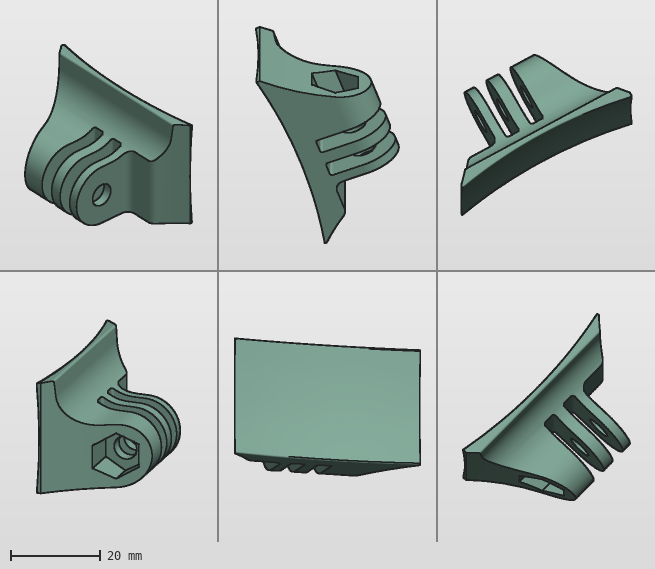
import cadquery as cq
import math

WIDTH = 43.4
DEPTH = 22.81
HEIGHT = 26.46

EYE_RADIUS = 7.5
EYE_Y = EYE_RADIUS - DEPTH
ARM_TOP_Z = 2 * EYE_RADIUS
LIP_LEAN = math.radians(5)
LIP_FRONT_Y = -3.35
LIP_ROUND = 0.5
SADDLE_RADIUS = 8.6

LEFT_END_Y = -0.95
RIGHT_END_Y = -0.55
FLANK_CENTRE_Y = -40.75
FLANK_RADIUS = 59.0
RIGHT_FLANK_SHIFT = 0.5
PLATE_FRONT_Y = -7.3
PLATE_CORNER_ROUND = 2.0
ARM_RIGHT_X = 30.2
ARM_ROOT_ROUND = 2.0

SLOT_WIDTH = 3.25
SLOT_LEFT_XS = (18.5, 24.65)
SLOT_ROOT_ROUND = 0.6

BACK_SAG = 2.15
BACK_MID_DIP = 0.55
BACK_MID_Z = 12.7
BACK_EDGE_ROUND = 0.3

BOLT_DIAMETER = 5.4
NUT_ACROSS_FLATS = 9.4
NUT_FLOOR_X = 15.5

MARGIN = 5.0


def arc_radius(half_chord, sag):
    return (half_chord**2 + sag**2) / (2 * sag)


def flank_rise(y):
    """X distance of the flank circle from its centre at a given Y."""
    return math.sqrt(FLANK_RADIUS**2 - (y - FLANK_CENTRE_Y) ** 2)


def left_flank(y):
    return (flank_rise(y) - flank_rise(LEFT_END_Y), y)


def right_flank(y):
    """Mirror image of the left flank, set slightly inward."""
    return (WIDTH - RIGHT_FLANK_SHIFT - left_flank(y)[0], y)


def vertical_edge_near(x, y):
    return cq.selectors.NearestToPointSelector((x, y, HEIGHT / 2))


def side_body():
    """Profile in YZ, extruded across the full width."""
    slope = math.tan(LIP_LEAN)
    corner_z = HEIGHT + LIP_ROUND * (math.cos(LIP_LEAN) + math.sin(LIP_LEAN) - 1)
    lip_foot_y = LIP_FRONT_Y - (corner_z - ARM_TOP_Z) * slope
    body = (
        cq.Workplane("YZ")
        .moveTo(0, 0)
        .lineTo(EYE_Y, 0)
        .threePointArc((-DEPTH, EYE_RADIUS), (EYE_Y, ARM_TOP_Z))
        .lineTo(lip_foot_y, ARM_TOP_Z)
        .lineTo(LIP_FRONT_Y, corner_z)
        .lineTo(0, corner_z + LIP_FRONT_Y * slope)
        .close()
        .extrude(WIDTH)
    )
    saddle_edge = cq.selectors.NearestToPointSelector((WIDTH / 2, lip_foot_y, ARM_TOP_Z))
    lip_edge = cq.selectors.NearestToPointSelector((WIDTH / 2, LIP_FRONT_Y, corner_z))
    return body.edges(saddle_edge).fillet(SADDLE_RADIUS).edges(lip_edge).fillet(LIP_ROUND)


def plan_body():
    """Plan outline in XY, extruded up the full height."""
    plate_corner = right_flank(PLATE_FRONT_Y)
    body = (
        cq.Workplane("XY")
        .moveTo(0, 0)
        .lineTo(*left_flank(LEFT_END_Y))
        .threePointArc(left_flank(-DEPTH / 2), left_flank(-DEPTH))
        .lineTo(ARM_RIGHT_X, -DEPTH)
        .lineTo(ARM_RIGHT_X, PLATE_FRONT_Y)
        .lineTo(*plate_corner)
        .threePointArc(right_flank(PLATE_FRONT_Y / 2), (WIDTH, RIGHT_END_Y))
        .lineTo(WIDTH, 0)
        .close()
        .extrude(HEIGHT)
    )
    arm_root = vertical_edge_near(ARM_RIGHT_X, PLATE_FRONT_Y)
    body = body.edges(arm_root).fillet(ARM_ROOT_ROUND)
    return body.edges(vertical_edge_near(*plate_corner)).fillet(PLATE_CORNER_ROUND)


def slot(left_x):
    """Slot open to the front, with rounded inner corners at the plate."""
    return (
        cq.Workplane("XY")
        .rect(SLOT_WIDTH, DEPTH + PLATE_FRONT_Y + MARGIN)
        .extrude(HEIGHT)
        .translate((left_x + SLOT_WIDTH / 2, (PLATE_FRONT_Y - DEPTH - MARGIN) / 2, 0))
        .edges("|Z and >Y")
        .fillet(SLOT_ROOT_ROUND)
    )


def back_hollow():
    """Barrel with a vertical axis behind the part, fattest at BACK_MID_Z."""
    barrel_radius = arc_radius(WIDTH / 2, BACK_SAG)
    bulge_radius = arc_radius(BACK_MID_Z, BACK_MID_DIP)
    crown_y = -(BACK_SAG + BACK_MID_DIP)
    axis_y = crown_y + barrel_radius
    low_z = -MARGIN
    high_z = HEIGHT + MARGIN

    def bulge_y(z):
        drop = bulge_radius - math.sqrt(bulge_radius**2 - (z - BACK_MID_Z) ** 2)
        return crown_y + drop

    return (
        cq.Workplane("YZ", origin=(WIDTH / 2, 0, 0))
        .moveTo(axis_y, low_z)
        .lineTo(bulge_y(low_z), low_z)
        .threePointArc((crown_y, BACK_MID_Z), (bulge_y(high_z), high_z))
        .lineTo(axis_y, high_z)
        .close()
        .revolve(360, (axis_y, 0, 0), (axis_y, 1, 0))
    )


def round_back_edges(body):
    """Ease the top and bottom edges of the hollow back face."""
    back_mid = (WIDTH / 2, -(BACK_SAG + BACK_MID_DIP), BACK_MID_Z)
    back_face = body.faces(cq.selectors.NearestToPointSelector(back_mid))
    return back_face.edges(">Z or <Z").fillet(BACK_EDGE_ROUND)


def bolt_hole():
    return (
        cq.Workplane("YZ")
        .center(EYE_Y, EYE_RADIUS)
        .circle(BOLT_DIAMETER / 2)
        .extrude(WIDTH)
    )


def nut_pocket():
    """Hexagon with corners up and down, open to the left flank."""
    across_corners = NUT_ACROSS_FLATS / math.cos(math.pi / 6)
    return (
        cq.Workplane("YZ")
        .polygon(6, across_corners)
        .extrude(NUT_FLOOR_X)
        .rotate((0, 0, 0), (1, 0, 0), 90)
        .translate((0, EYE_Y, EYE_RADIUS))
    )


result = side_body().intersect(plan_body()).cut(back_hollow())
result = round_back_edges(result)
for slot_left_x in SLOT_LEFT_XS:
    result = result.cut(slot(slot_left_x))
result = result.cut(bolt_hole()).cut(nut_pocket())